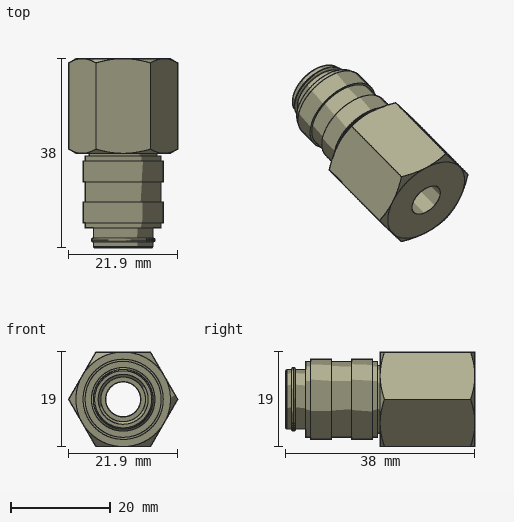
import cadquery as cq
import math

length = 38.0
hex_across_flats = 19.0
hex_start = 19.0
hex_chamfer_angle = 30.0

nose_radius = 6.0
collar_radius = 7.65
band_radius = 8.05
neck_radius = 6.85

collar_start = 4.03
front_band_start = 5.05
front_band_end = 9.25
rear_band_start = 13.25
rear_band_end = 17.48
collar_end = 18.5

nose_chamfer = 0.25
ring_position = 1.6
ring_section_radius = 0.38

through_radius = 3.5
socket_radius = 4.5
socket_depth = 10.25
mouth_radius = 5.0
mouth_depth = mouth_radius - socket_radius


def cylinder(radius, start, end):
    """Cylinder on the Y axis between two positions."""
    return cq.Workplane("XZ", origin=(0, start, 0)).circle(radius).extrude(start - end)


def revolve_about_axis(profile):
    """Revolve a closed XY profile about the Y axis."""
    return profile.revolve(360, (0, 0, 0), (0, 1, 0))


def make_hexagon():
    """Hexagonal prism with both ends turned to a cone."""
    corner_radius = hex_across_flats / math.sqrt(3)
    flat_radius = hex_across_flats / 2
    chamfer_height = (corner_radius - flat_radius) * math.tan(math.radians(hex_chamfer_angle))
    prism = (
        cq.Workplane("XZ", origin=(0, hex_start, 0))
        .polygon(6, 2 * corner_radius)
        .extrude(hex_start - length)
    )
    envelope = revolve_about_axis(
        cq.Workplane("XY").polyline([
            (0, hex_start),
            (flat_radius, hex_start),
            (corner_radius, hex_start + chamfer_height),
            (corner_radius, length - chamfer_height),
            (flat_radius, length),
            (0, length),
        ]).close()
    )
    return prism.intersect(envelope)


def make_nose():
    """Chamfered nose with a rounded retaining ring."""
    nose = cylinder(nose_radius, 0, collar_start).faces("<Y").chamfer(nose_chamfer)
    ring = cq.Solid.makeTorus(
        nose_radius,
        ring_section_radius,
        cq.Vector(0, ring_position, 0),
        cq.Vector(0, 1, 0),
    )
    return nose.union(cq.Workplane(ring))


def make_bore():
    """Stepped through bore with a conical mouth."""
    return revolve_about_axis(
        cq.Workplane("XY").polyline([
            (0, 0),
            (mouth_radius, 0),
            (socket_radius, mouth_depth),
            (socket_radius, socket_depth),
            (through_radius, socket_depth),
            (through_radius, length),
            (0, length),
        ]).close()
    )


body = make_hexagon().union(make_nose())
body = body.union(cylinder(collar_radius, collar_start, collar_end))
for band_start, band_end in ((front_band_start, front_band_end), (rear_band_start, rear_band_end)):
    body = body.union(cylinder(band_radius, band_start, band_end))
body = body.union(cylinder(neck_radius, collar_end, hex_start))

result = body.cut(make_bore())